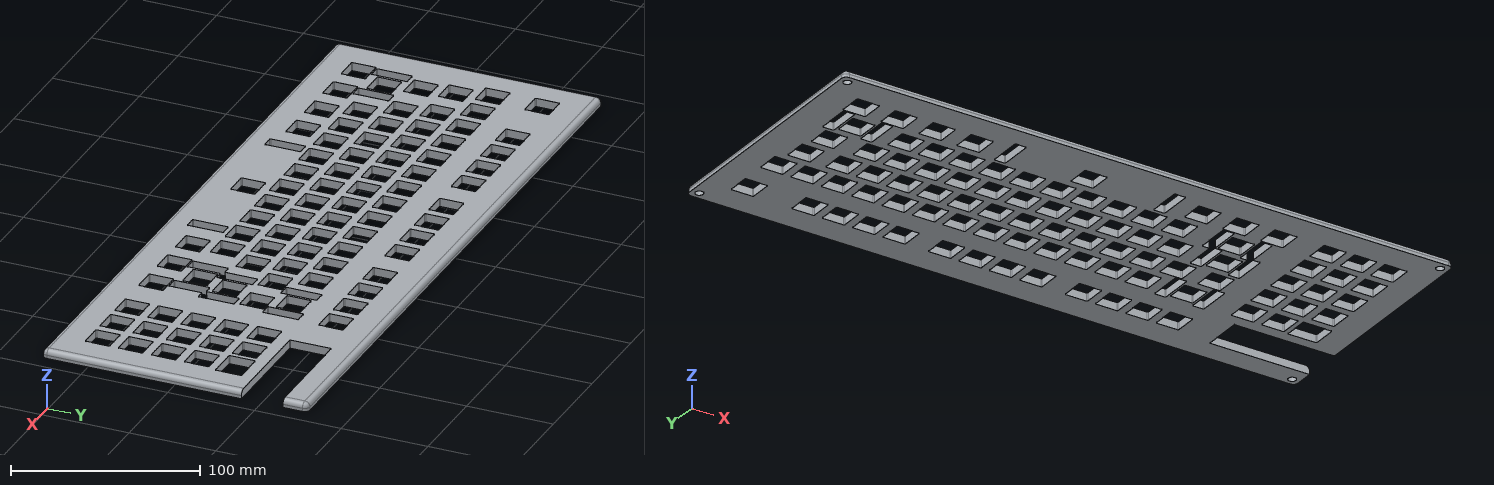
import cadquery as cq
LENGTH = 381.91
WIDTH = 153.35
THICKNESS = 5.0
CORNER_RADIUS = 3.0
RIM_RADIUS = 3.0

FASTENER_DIAMETER = 4.7
FASTENER_DEPTH = 4.0
FASTENER_INSET = 5.0

KEY_UNIT = 19.05
KEY_HOLE = 14.0
HOLE_CORNER_RADIUS = 0.5
GRID_COLUMNS = 17.5
GRID_ROWS = 5.5
GRID_CENTRE_X = -0.475
GRID_CENTRE_Y = -0.1
FIRST_KEY_X = GRID_CENTRE_X - GRID_COLUMNS * KEY_UNIT / 2
TOP_ROW_Y = GRID_CENTRE_Y + GRID_ROWS * KEY_UNIT / 2

FUNCTION_ROW = 0
NUMBER_ROW = 1.5
TAB_ROW = 2.5
HOME_ROW = 3.5
SHIFT_ROW = 4.5
BOTTOM_ROW = 5.5

STABILISER_WIDTH = 7.0
STABILISER_LENGTH = 20.6
STABILISER_DROP = 0.9
WIDE_KEY_OFFSET = 11.94
SPACE_BAR_OFFSET = 50.0

WINDOW_LENGTH = 18.0
WINDOW_WIDTH = 15.0
WINDOW_RISE = 0.25

NOTCH_LEFT_X = 128.2
NOTCH_BOTTOM_Y = 38.5
NOTCH_TOP_Y = 62.3


def run_of_keys(first, count, step=1.0):
    """Column positions, in key units, of evenly spaced keys."""
    return [first + step * i for i in range(count)]


BACKSPACE = 13.5
ENTER = 13.375
LEFT_SHIFT = 0.625
RIGHT_SHIFT = 13.125
SPACE_BAR = 7.625

NUMBER_PAD = run_of_keys(15.5, 3)

KEY_COLUMNS = {
    FUNCTION_ROW: [0] + run_of_keys(2, 4) + run_of_keys(6.5, 4) + run_of_keys(11, 4),
    NUMBER_ROW: run_of_keys(0, 13) + [BACKSPACE] + NUMBER_PAD[:-1],
    TAB_ROW: [0.25] + run_of_keys(1.5, 12) + [13.75] + NUMBER_PAD,
    HOME_ROW: [0.375] + run_of_keys(1.75, 11) + [ENTER] + NUMBER_PAD,
    SHIFT_ROW: [LEFT_SHIFT] + run_of_keys(2.25, 10) + [RIGHT_SHIFT] + NUMBER_PAD,
    BOTTOM_ROW: run_of_keys(0.125, 4, 1.25) + [SPACE_BAR] + run_of_keys(11.375, 3, 1.25) + NUMBER_PAD,
}

STABILISED_KEYS = [
    (BACKSPACE, NUMBER_ROW, WIDE_KEY_OFFSET),
    (ENTER, HOME_ROW, WIDE_KEY_OFFSET),
    (LEFT_SHIFT, SHIFT_ROW, WIDE_KEY_OFFSET),
    (RIGHT_SHIFT, SHIFT_ROW, WIDE_KEY_OFFSET),
    (SPACE_BAR, BOTTOM_ROW, SPACE_BAR_OFFSET),
]


def key_centre(column, row):
    """Plan position of a key given in key units."""
    return (FIRST_KEY_X + column * KEY_UNIT, TOP_ROW_Y - row * KEY_UNIT)


def plate():
    """Slab with vertical corner rounds and a rounded upper rim."""
    slab = cq.Workplane("XY").box(LENGTH, WIDTH, THICKNESS, centered=(True, True, False))
    return slab.edges("|Z").fillet(CORNER_RADIUS).faces(">Z").edges().fillet(RIM_RADIUS)


def through_cutter(centres, length, width):
    """Rectangular prisms through the plate at the given centres."""
    return cq.Workplane("XY").pushPoints(centres).rect(length, width).extrude(THICKNESS)


def rounded_cutter(centres, length, width):
    """Through prisms whose upright edges are rounded."""
    return through_cutter(centres, length, width).edges("|Z").fillet(HOLE_CORNER_RADIUS)


def key_holes():
    """Square switch holes of every row."""
    centres = [key_centre(column, row) for row, columns in KEY_COLUMNS.items() for column in columns]
    return rounded_cutter(centres, KEY_HOLE, KEY_HOLE)


def stabiliser_slots():
    """Pair of upright slots beside each wide key."""
    centres = []
    for column, row, offset in STABILISED_KEYS:
        x, y = key_centre(column, row)
        for side in (-1, 1):
            centres.append((x + side * offset, y - STABILISER_DROP))
    return rounded_cutter(centres, STABILISER_WIDTH, STABILISER_LENGTH)


def number_pad_window():
    """Oversized hole in the last column of the number row."""
    x, y = key_centre(NUMBER_PAD[-1], NUMBER_ROW)
    return rounded_cutter([(x, y + WINDOW_RISE)], WINDOW_LENGTH, WINDOW_WIDTH)


def edge_notch():
    """Rectangular notch running out through the right edge."""
    notch_length = LENGTH / 2 - NOTCH_LEFT_X
    centre = (NOTCH_LEFT_X + notch_length / 2, (NOTCH_TOP_Y + NOTCH_BOTTOM_Y) / 2)
    return through_cutter([centre], notch_length, NOTCH_TOP_Y - NOTCH_BOTTOM_Y)


def fastener_holes():
    """Blind round holes rising from the underside at the four corners."""
    spacing_x = LENGTH - 2 * FASTENER_INSET
    spacing_y = WIDTH - 2 * FASTENER_INSET
    centres = cq.Workplane("XY").rect(spacing_x, spacing_y, forConstruction=True).vertices()
    return centres.circle(FASTENER_DIAMETER / 2).extrude(FASTENER_DEPTH)


result = plate()
result = result.cut(key_holes())
result = result.cut(stabiliser_slots())
result = result.cut(number_pad_window())
result = result.cut(edge_notch())
result = result.cut(fastener_holes())